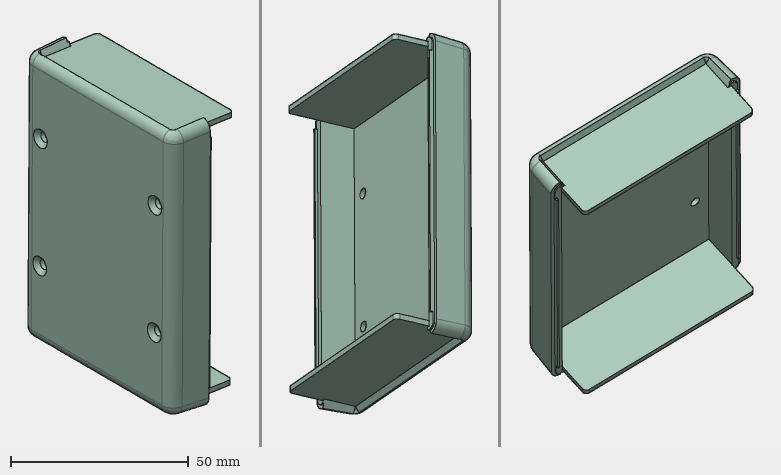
import cadquery as cq


RIM_WIDTH = 66.1
RIM_LENGTH = 92.2
LEDGE_Y = 13.5
DRAFT_ANGLE = 2.4
SIDE_EDGE_RADIUS = 4.2
END_EDGE_RADIUS = 3.2

LEDGE_WIDTH = 1.1
BAND_HEIGHT = 0.5
LIP_HEIGHT = 0.8
LIP_THICKNESS = 0.65
LIP_LENGTH = 80.45
BAND_Y = LEDGE_Y + BAND_HEIGHT
BAND_WIDTH = RIM_WIDTH - 2 * LEDGE_WIDTH
BAND_LENGTH = RIM_LENGTH - 2 * LEDGE_WIDTH
BAND_CORNER_RADIUS = END_EDGE_RADIUS - LEDGE_WIDTH

PANEL_WIDTH = 59.4
PANEL_THICKNESS = 1.7
PANEL_BACK_Y = 24.9
PANEL_CORNER_RADIUS = 1.4

END_WALL = 2.2
FLOOR = 3.0
CAVITY_LENGTH = RIM_LENGTH - 2 * END_WALL

WINDOW_WIDTH = 57.0
WINDOW_SILL_Y = 3.6
WINDOW_FLARE_ANGLE = 34.0

HOLE_SPACING_X = 50.0
HOLE_SPACING_Z = 41.0
HOLE_DIAMETER = 3.05
COUNTERSINK_DIAMETER = 5.9
COUNTERSINK_ANGLE = 90.0

TILT_X = -0.12
TILT_Y = 0.28


def xz_plane(y):
    """Workplane at height y whose normal is -Y, with local axes X and Z."""
    return cq.Workplane("XZ", origin=(0, y, 0))


def shell_outside():
    """Drafted block with rounded edges everywhere but around the rim."""
    block = xz_plane(LEDGE_Y).rect(RIM_WIDTH, RIM_LENGTH).extrude(LEDGE_Y, taper=DRAFT_ANGLE)
    block = block.faces("<Y").edges("|Z").fillet(SIDE_EDGE_RADIUS)
    for end in ("<Z", ">Z"):
        block = block.faces(end).edges("not >Y").fillet(END_EDGE_RADIUS)
    return block


def rim_band():
    """Raised band inside the ledge."""
    band = xz_plane(BAND_Y).rect(BAND_WIDTH, BAND_LENGTH).extrude(BAND_HEIGHT)
    return band.edges("|Y").fillet(BAND_CORNER_RADIUS)


def rim_lips():
    """Thin lip along the outer edge of the band on both sides."""
    lip_x = (BAND_WIDTH - LIP_THICKNESS) / 2
    return (
        xz_plane(BAND_Y + LIP_HEIGHT)
        .pushPoints([(-lip_x, 0), (lip_x, 0)])
        .rect(LIP_THICKNESS, LIP_LENGTH)
        .extrude(LIP_HEIGHT)
    )


def cavity():
    """Box-shaped hollow, open at the rim."""
    return xz_plane(BAND_Y).rect(PANEL_WIDTH, CAVITY_LENGTH).extrude(BAND_Y - FLOOR)


def end_window(end):
    """Flared cutter for the window in the +Z (end = 1) or -Z (end = -1) wall."""
    height = BAND_Y - WINDOW_SILL_Y
    return (
        cq.Workplane("XY", origin=(0, WINDOW_SILL_Y + height / 2, end * CAVITY_LENGTH / 2))
        .rect(WINDOW_WIDTH, height)
        .extrude(end * END_WALL, taper=-WINDOW_FLARE_ANGLE)
    )


def make_shell():
    shell = shell_outside().union(rim_band()).union(rim_lips()).cut(cavity())
    for end in (-1, 1):
        shell = shell.cut(end_window(end))
    return (
        shell.copyWorkplane(xz_plane(0))
        .rarray(HOLE_SPACING_X, HOLE_SPACING_Z, 2, 2)
        .cskHole(HOLE_DIAMETER, COUNTERSINK_DIAMETER, COUNTERSINK_ANGLE, depth=FLOOR)
    )


def make_end_panel(end):
    """Panel standing on the cavity floor against the +Z (end = 1) or -Z (end = -1) wall."""
    height = PANEL_BACK_Y - FLOOR
    center_z = end * (CAVITY_LENGTH - PANEL_THICKNESS) / 2
    panel = cq.Workplane("XY").box(PANEL_WIDTH, height, PANEL_THICKNESS)
    panel = panel.edges("|Z and >Y").fillet(PANEL_CORNER_RADIUS)
    return panel.translate((0, FLOOR + height / 2, center_z))


def tilt(body):
    about_x = body.rotate((0, 0, 0), (1, 0, 0), TILT_X)
    return about_x.rotate((0, 0, 0), (0, 1, 0), TILT_Y)


shell = tilt(make_shell())
end_panels = [tilt(make_end_panel(end)) for end in (-1, 1)]

result = cq.Compound.makeCompound([shell.val(), *[panel.val() for panel in end_panels]])